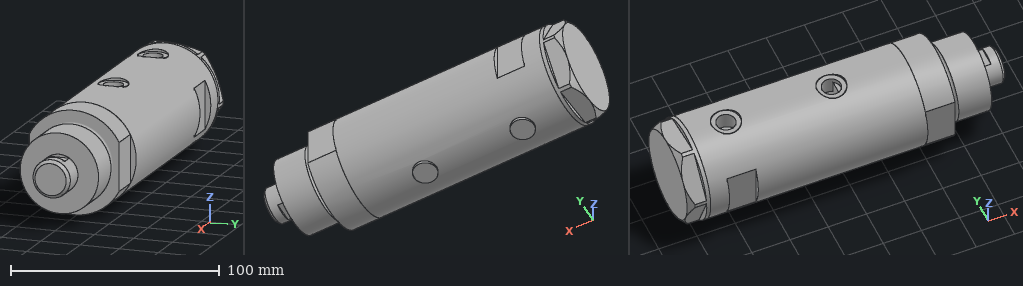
import cadquery as cq
import math


outer_radius = 52.0 / 2
wrench_size = 46.0
bore_radius = 16.1
counterbore_radius = 22.5
rod_radius = 9.5

flange_start = 9.0
barrel_start = 11.0
cap_spigot_end = 34.8
head_spigot_start = 88.2
head_start = 124.7
head_shoulder = 140.3
neck_end = 160.9
rod_end = 173

hexagon_turn = 7.6
cap_face_radius = wrench_size / 2

pocket_start = 21.0
pocket_length = 15.0
port_positions = [30.5, 85.6]
port_radius = 4.8
spotface_radius = 7.5
spotface_height = 24.7
boss_positions = [35.0, 88.5]
boss_radius = 12.3 / 2
boss_projection = 1.0

neck_radius = 20.0
relief_radius = 19.0
relief_fillet = 1.0
relief_floor_length = 1.0
relief_slope = 60

rod_chamfer = 1.5
rod_flat_height = 16.1 / 2
rod_flat_end = 167.0


def revolved_x(profile):
    """A solid of revolution about X from (x, radius) points."""
    return cq.Workplane("XZ").polyline(profile).close().revolve(360, (0, 0, 0), (1, 0, 0))


def cylinder_x(start, end, radius):
    """A cylinder about the X axis between two stations."""
    return revolved_x([(start, 0), (start, radius), (end, radius), (end, 0)])


def cut_flats(body, start, end, distance, normal):
    """Cut a pair of flats at +/- distance from the axis, facing along Y or Z."""
    reach = 2 * outer_radius
    middle = (start + end) / 2
    for sign in (-1, 1):
        offset = sign * (distance + reach / 2)
        center = (middle, offset, 0) if normal == "Y" else (middle, 0, offset)
        body = body.cut(cq.Workplane("XY").box(end - start, reach, reach).translate(center))
    return body


def make_cap():
    """Hexagonal end cap with a flange and a spigot that plugs the bore."""
    corner_distance = wrench_size / math.cos(math.pi / 6)
    hexagon = (
        cq.Workplane("YZ")
        .polygon(6, corner_distance)
        .extrude(flange_start)
        .rotate((0, 0, 0), (1, 0, 0), -hexagon_turn)
    )
    chamfer_length = outer_radius - cap_face_radius
    trim = revolved_x([
        (0, 0),
        (0, cap_face_radius),
        (chamfer_length, outer_radius),
        (flange_start, outer_radius),
        (flange_start, 0),
    ])
    flange = cylinder_x(flange_start, barrel_start, outer_radius)
    spigot = cylinder_x(barrel_start, cap_spigot_end, bore_radius)
    return hexagon.intersect(trim).union(flange).union(spigot)


def make_barrel():
    """Bored barrel with wrench flats, two ports on top and two bosses underneath."""
    barrel = cylinder_x(barrel_start, head_start, outer_radius)
    for x in boss_positions:
        boss = (
            cq.Workplane("XY", origin=(x, 0, -outer_radius - boss_projection))
            .circle(boss_radius)
            .extrude(outer_radius + boss_projection)
        )
        barrel = barrel.union(boss)
    barrel = barrel.cut(cylinder_x(barrel_start, head_start, bore_radius))
    barrel = barrel.cut(cylinder_x(head_spigot_start, head_start, counterbore_radius))
    pocket_end = pocket_start + pocket_length
    barrel = cut_flats(barrel, pocket_start, pocket_end, wrench_size / 2, "Y")
    for x in port_positions:
        port = cq.Workplane("XY", origin=(x, 0, 0)).circle(port_radius).extrude(outer_radius)
        spotface = (
            cq.Workplane("XY", origin=(x, 0, spotface_height))
            .circle(spotface_radius)
            .extrude(outer_radius - spotface_height)
        )
        barrel = barrel.cut(port).cut(spotface)
    return barrel


def relief_arc(center_x, start_angle, end_angle):
    """Middle and end points of a relief fillet; angles in degrees, with -90 on the floor."""
    points = []
    for angle in ((start_angle + end_angle) / 2, end_angle):
        x = center_x + relief_fillet * math.cos(math.radians(angle))
        radius = relief_radius + relief_fillet * (1 + math.sin(math.radians(angle)))
        points.append((x, radius))
    return points


def make_head():
    """Rod-side head with wrench flats, a relieved neck and a spigot in the counterbore."""
    floor_start = head_shoulder + relief_fillet
    floor_end = floor_start + relief_floor_length
    slope_bottom = relief_arc(floor_end, -90, -90 + relief_slope)[1]
    slope_rise = neck_radius - slope_bottom[1]
    neck_start = slope_bottom[0] + slope_rise / math.tan(math.radians(relief_slope))
    profile = (
        cq.Workplane("XZ")
        .moveTo(head_spigot_start, rod_radius)
        .lineTo(head_spigot_start, counterbore_radius)
        .lineTo(head_start, counterbore_radius)
        .lineTo(head_start, outer_radius)
        .lineTo(head_shoulder, outer_radius)
        .lineTo(head_shoulder, relief_radius + relief_fillet)
        .threePointArc(*relief_arc(floor_start, -180, -90))
        .lineTo(floor_end, relief_radius)
        .threePointArc(*relief_arc(floor_end, -90, -90 + relief_slope))
        .lineTo(neck_start, neck_radius)
        .lineTo(neck_end, neck_radius)
        .lineTo(neck_end, rod_radius)
        .close()
    )
    head = profile.revolve(360, (0, 0, 0), (1, 0, 0))
    return cut_flats(head, head_start, head_shoulder, wrench_size / 2, "Y")


def make_rod():
    """Rod with a chamfered tip and two flats above and below its axis."""
    rod = cylinder_x(cap_spigot_end, rod_end, rod_radius).faces(">X").chamfer(rod_chamfer)
    return cut_flats(rod, neck_end, rod_flat_end, rod_flat_height, "Z")


cap = make_cap().solids()
barrel = make_barrel().solids()
head = make_head().solids()
rod = make_rod().solids()

result = cq.Compound.makeCompound([cap.val(), barrel.val(), head.val(), rod.val()])